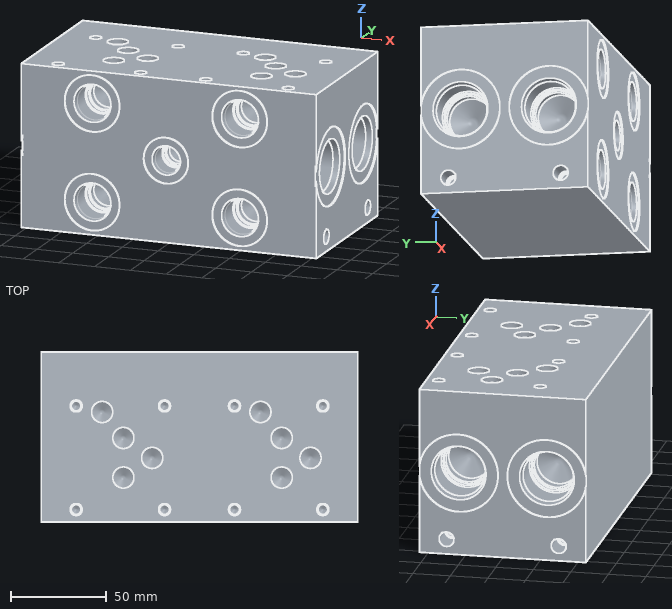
import cadquery as cq
import math

LENGTH = 165.1
WIDTH = 88.8
HEIGHT = 88.8

DRILL_POINT_ANGLE = 118.0
SPOTFACE_DEPTH = 0.7

STATION_SPACING = 82.5
STATION_CENTERS = [LENGTH / 2 - STATION_SPACING / 2, LENGTH / 2 + STATION_SPACING / 2]

BOLT_SPACING_X = 46.0
BOLT_SPACING_Y = 54.0
FRONT_BOLT_Y = 6.6
BOLT_THREAD_DIAMETER = 6.3
BOLT_DRILL_DIAMETER = 5.1
BOLT_THREAD_DEPTH = 14.9
BOLT_DRILL_DEPTH = 18.2

PASSAGE_DIAMETER = 11.0
PASSAGE_DEPTH = 3.1
PASSAGE_OFFSETS = [(13.5, 3.1), (24.6, 16.7), (39.6, 27.0), (24.6, 37.3)]

WORK_PORT = {
    "spotface": 30.7, "mouth": 20.6, "thread": 19.0, "tap_drill": 17.5, "drill": 15.8,
    "mouth_depth": 2.5, "thread_depth": 14.9, "tap_drill_depth": 18.2, "depth": 23.1,
}
GAUGE_PORT = {
    "spotface": 25.0, "mouth": 15.8, "thread": 14.4, "tap_drill": 12.9, "drill": 11.0,
    "mouth_depth": 2.5, "thread_depth": 13.2, "tap_drill_depth": 15.7, "depth": 19.8,
}
MAIN_PORT = {
    "spotface": 42.1, "mouth": 29.2, "thread": 26.9, "tap_drill": 25.0, "drill": 23.0,
    "mouth_depth": 3.3, "thread_depth": 19.8, "tap_drill_depth": 23.1, "depth": 29.7,
}

FRONT_PORT_SHIFT_X = -1.7
WORK_PORT_OFFSET_Z = 26.7
MAIN_PORT_SPACING_Y = 47.0

MOUNT_HOLE_OFFSET_Y = 29.9
MOUNT_HOLE_Z = 8.1
MOUNT_THREAD_DIAMETER = 8.0
MOUNT_DRILL_DIAMETER = 6.6
MOUNT_THREAD_DEPTH = 14.9
MOUNT_DRILL_DEPTH = 18.2


def turned_cutter(profile, position, direction):
    """Revolve (radius, depth) points into a hole with a drill point, going inwards from position."""
    last_radius, last_depth = profile[-1]
    tip_length = last_radius / math.tan(math.radians(DRILL_POINT_ANGLE / 2))
    points = [(0, 0)] + profile + [(0, last_depth + tip_length)]
    cutter = cq.Workplane("XY").polyline(points).close().revolve(360, (0, 0), (0, 1)).val()
    drilling = cq.Vector(*direction)
    across = cq.Vector(0, 0, 1) if direction[2] == 0 else cq.Vector(1, 0, 0)
    plane = cq.Plane(origin=position, xDir=across, normal=across.cross(drilling))
    return cutter.moved(cq.Location(plane))


def port_cutter(port, position, direction):
    """Spotface, tapered seal mouth, thread bore, tap drill and core drill of one port."""
    bore_start = SPOTFACE_DEPTH
    taper_end = bore_start + port["mouth_depth"]
    profile = [
        (port["spotface"] / 2, 0),
        (port["spotface"] / 2, bore_start),
        (port["mouth"] / 2, bore_start),
        (port["thread"] / 2, taper_end),
        (port["thread"] / 2, port["thread_depth"]),
        (port["tap_drill"] / 2, port["thread_depth"]),
        (port["tap_drill"] / 2, port["tap_drill_depth"]),
        (port["drill"] / 2, port["tap_drill_depth"]),
        (port["drill"] / 2, port["depth"]),
    ]
    return turned_cutter(profile, position, direction)


def tapped_hole_cutter(thread_diameter, thread_depth, drill_diameter, drill_depth, position, direction):
    """Thread bore followed by the narrower tap drill."""
    profile = [
        (thread_diameter / 2, 0),
        (thread_diameter / 2, thread_depth),
        (drill_diameter / 2, thread_depth),
        (drill_diameter / 2, drill_depth),
    ]
    return turned_cutter(profile, position, direction)


def station_cutters(center_x):
    """Bolt holes, valve passages and the two work ports of one valve station."""
    down = (0, 0, -1)
    cutters = []
    left_bolt_x = center_x - BOLT_SPACING_X / 2
    rear_bolt_y = FRONT_BOLT_Y + BOLT_SPACING_Y

    for x in (left_bolt_x, left_bolt_x + BOLT_SPACING_X):
        for y in (FRONT_BOLT_Y, rear_bolt_y):
            cutters.append(tapped_hole_cutter(
                BOLT_THREAD_DIAMETER, BOLT_THREAD_DEPTH, BOLT_DRILL_DIAMETER, BOLT_DRILL_DEPTH,
                (x, y, HEIGHT), down))

    passage_profile = [(PASSAGE_DIAMETER / 2, 0), (PASSAGE_DIAMETER / 2, PASSAGE_DEPTH)]
    for right, forward in PASSAGE_OFFSETS:
        position = (left_bolt_x + right, rear_bolt_y - forward, HEIGHT)
        cutters.append(turned_cutter(passage_profile, position, down))

    for offset in (-WORK_PORT_OFFSET_Z, WORK_PORT_OFFSET_Z):
        position = (center_x + FRONT_PORT_SHIFT_X, 0, HEIGHT / 2 + offset)
        cutters.append(port_cutter(WORK_PORT, position, (0, 1, 0)))
    return cutters


def end_face_cutters(face_x, direction):
    """Two main ports and two mounting holes in one end of the block."""
    cutters = []
    for side in (-1, 1):
        port_y = WIDTH / 2 + side * MAIN_PORT_SPACING_Y / 2
        cutters.append(port_cutter(MAIN_PORT, (face_x, port_y, HEIGHT / 2), direction))
        mount_y = WIDTH / 2 + side * MOUNT_HOLE_OFFSET_Y
        cutters.append(tapped_hole_cutter(
            MOUNT_THREAD_DIAMETER, MOUNT_THREAD_DEPTH, MOUNT_DRILL_DIAMETER, MOUNT_DRILL_DEPTH,
            (face_x, mount_y, MOUNT_HOLE_Z), direction))
    return cutters


result = cq.Workplane("XY").box(LENGTH, WIDTH, HEIGHT, centered=False)

cutters = [port_cutter(GAUGE_PORT, (LENGTH / 2 + FRONT_PORT_SHIFT_X, 0, HEIGHT / 2), (0, 1, 0))]
for station_x in STATION_CENTERS:
    cutters += station_cutters(station_x)
cutters += end_face_cutters(0, (1, 0, 0))
cutters += end_face_cutters(LENGTH, (-1, 0, 0))

for cutter in cutters:
    result = result.cut(cq.Workplane(cutter))